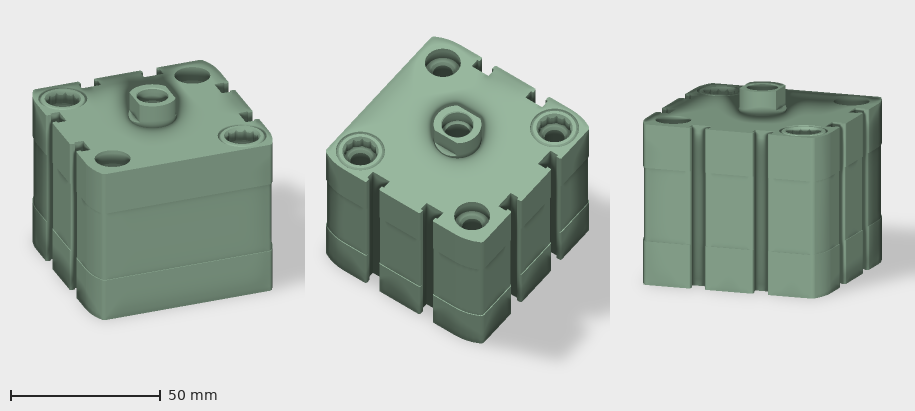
import cadquery as cq
import math

WIDTH = 65.5
BODY_HEIGHT = 55.0
ROD_PROJECTION = 8.2
CAP_HEIGHT = 14.95
BARREL_INSET = 0.295

BOLT_OFFSET = 23.2
CORNER_RADIUS = 18.35
CORNER_FILLET = 1.5

SLOT_OFFSET = 11.15
SLOT_MOUTH = 5.25
SLOT_WIDTH = 6.95
SLOT_DEPTH = 5.0
LIP_DEPTH = 1.8
LIP_ROUND = 0.6

BOLT_HOLE_DIA = 6.6
COUNTERSINK_DIA = 8.4
RECESS_DIA = 12.0
RECESS_DEPTH = 5.0
COUNTERSINK_SLOPE = math.radians(40)

HEAD_FACE_DIA = 14.4
HEAD_DIA = 15.5
HEAD_BORE_DIA = 16.0
HEAD_BORE_MOUTH_DIA = 16.4
SOCKET_RIM_DIA = 12.1
SOCKET_POINT_DIA = 11.5
SOCKET_TIP_DIA = 10.75
SOCKET_DEPTH = 4.6
SOCKET_LEAD_IN = math.radians(65)
SOCKET_HEXAGONS = 2
HEXAGON_SIDES = 6

ROD_DIA = 16.0
ROD_SEAT_DEPTH = CAP_HEIGHT
ROD_FLATS = 13.0
FLAT_LENGTH = 6.7
FLAT_RUN_OUT = math.radians(30)
ROD_MOUTH_DIA = 11.15
ROD_RECESS_DIA = 10.5
ROD_RECESS_DEPTH = 4.7
ROD_BORE_DIA = 8.6
ROD_STEP_SLOPE = math.radians(30)
ROD_BORE_DEPTH = 15.7
DRILL_SLOPE = math.radians(31)

CUTTER_MARGIN = 0.65
TOLERANCE = 0.005


def revolved(z, points):
    """Close a half-profile of (diameter, depth below z) pairs around the Z axis and revolve it."""
    outline = [(diameter / 2, z - depth) for diameter, depth in points]
    return cq.Workplane("XZ").polyline(outline).close().revolve(360, (0, 0), (0, 1))


def cone_depth(large_dia, small_dia, slope):
    return (large_dia - small_dia) / 2 * math.tan(slope)


def plain_block(half, height):
    """Square block whose four corners are arched from the Y faces down to the X faces."""
    radius = CORNER_RADIUS - (WIDTH / 2 - half)
    arch_centre = half - radius

    def on_arch(x):
        return arch_centre + math.sqrt(radius**2 - (x - BOLT_OFFSET) ** 2)

    arch_middle = (BOLT_OFFSET + half) / 2
    block = (
        cq.Workplane("XY")
        .moveTo(-BOLT_OFFSET, half)
        .lineTo(BOLT_OFFSET, half)
        .threePointArc((arch_middle, on_arch(arch_middle)), (half, on_arch(half)))
        .lineTo(half, -on_arch(half))
        .threePointArc((arch_middle, -on_arch(arch_middle)), (BOLT_OFFSET, -half))
        .lineTo(-BOLT_OFFSET, -half)
        .threePointArc((-arch_middle, -on_arch(arch_middle)), (-half, -on_arch(half)))
        .lineTo(-half, on_arch(half))
        .threePointArc((-arch_middle, on_arch(arch_middle)), (-BOLT_OFFSET, half))
        .close()
        .extrude(height)
    )
    return block.edges("|Z and (<X or >X)").fillet(CORNER_FILLET)


def slot_pair(height):
    """Two T-slots let into the +Y face."""
    slots = cq.Workplane("XY")
    for x in (-SLOT_OFFSET, SLOT_OFFSET):
        for width, near, far in (
            (SLOT_MOUTH, 0, SLOT_DEPTH),
            (SLOT_WIDTH, LIP_DEPTH, SLOT_DEPTH),
        ):
            y = WIDTH / 2 - (near + far) / 2
            slots = slots.union(cq.Workplane("XY").center(x, y).rect(width, far - near).extrude(height))
    return slots


def housing_band(half, bottom, height):
    """One length of the housing, with slots on the +Y, -Y and -X faces and rounded slot lips."""
    def is_lip(edge):
        along, outward = sorted((abs(edge.Center().x), abs(edge.Center().y)))
        return abs(outward - half) < TOLERANCE and along < SLOT_OFFSET + SLOT_WIDTH

    band = plain_block(half, height)
    for turn in (0, 90, 180):
        band = band.cut(slot_pair(height).rotate((0, 0, 0), (0, 0, 1), turn))
    lips = band.edges("|Z").filter(is_lip)
    return lips.fillet(LIP_ROUND).translate((0, 0, bottom))


def bolt_hole(mouth_depth):
    """Through hole whose countersunk mouth lies the given depth below the top face."""
    sink_end = mouth_depth + cone_depth(COUNTERSINK_DIA, BOLT_HOLE_DIA, COUNTERSINK_SLOPE)
    return revolved(BODY_HEIGHT, [
        (0, mouth_depth),
        (COUNTERSINK_DIA, mouth_depth),
        (BOLT_HOLE_DIA, sink_end),
        (BOLT_HOLE_DIA, BODY_HEIGHT),
        (0, BODY_HEIGHT),
    ])


def round_recess():
    return revolved(BODY_HEIGHT, [
        (0, 0), (RECESS_DIA, 0), (RECESS_DIA, RECESS_DEPTH), (0, RECESS_DEPTH),
    ])


def head_groove():
    """Narrow groove between the chamfer of a bolt head and the chamfer of its bore."""
    depth = (HEAD_DIA - HEAD_FACE_DIA) / 2
    return revolved(BODY_HEIGHT, [
        (HEAD_FACE_DIA, 0), (HEAD_DIA, depth), (HEAD_BORE_DIA, depth), (HEAD_BORE_MOUTH_DIA, 0),
    ])


def star_socket():
    """Twelve-point socket with blunt teeth and a conical lead-in."""
    lead_end = cone_depth(SOCKET_RIM_DIA, SOCKET_TIP_DIA, SOCKET_LEAD_IN)
    socket = revolved(BODY_HEIGHT, [
        (0, 0),
        (SOCKET_RIM_DIA, 0),
        (SOCKET_TIP_DIA, lead_end),
        (SOCKET_TIP_DIA, SOCKET_DEPTH),
        (0, SOCKET_DEPTH),
    ])
    floor = cq.Workplane("XY", origin=(0, 0, BODY_HEIGHT - SOCKET_DEPTH))
    for step in range(SOCKET_HEXAGONS):
        turn = step * 360 / HEXAGON_SIDES / SOCKET_HEXAGONS
        hexagon = floor.polygon(HEXAGON_SIDES, SOCKET_POINT_DIA).extrude(SOCKET_DEPTH)
        socket = socket.union(hexagon.rotate((0, 0, 0), (0, 0, 1), turn))
    return socket


def make_housing():
    half = WIDTH / 2
    top_cap_bottom = BODY_HEIGHT - CAP_HEIGHT
    housing = housing_band(half, 0, CAP_HEIGHT)
    housing = housing.union(housing_band(half - BARREL_INSET, CAP_HEIGHT, top_cap_bottom - CAP_HEIGHT))
    housing = housing.union(housing_band(half, top_cap_bottom, CAP_HEIGHT))

    for x_side in (-1, 1):
        for y_side in (-1, 1):
            corner = (x_side * BOLT_OFFSET, y_side * BOLT_OFFSET, 0)
            has_bolt_head = x_side == y_side
            if has_bolt_head:
                cutters = (head_groove(), star_socket(), bolt_hole(SOCKET_DEPTH))
            else:
                cutters = (round_recess(), bolt_hole(RECESS_DEPTH))
            for cutter in cutters:
                housing = housing.cut(cutter.translate(corner))

    rod_seat = cq.Workplane("XY", origin=(0, 0, BODY_HEIGHT - ROD_SEAT_DEPTH))
    return housing.cut(rod_seat.circle(ROD_DIA / 2).extrude(ROD_SEAT_DEPTH))


def flat_cutter():
    """Material removed for the spanner flat on the +Y side, running out along a slope."""
    top = BODY_HEIGHT + ROD_PROJECTION
    inner = ROD_FLATS / 2
    outer = ROD_DIA / 2 + CUTTER_MARGIN
    foot = top - FLAT_LENGTH
    run_out = (outer - inner) * math.tan(FLAT_RUN_OUT)
    profile = [(inner, top), (outer, top), (outer, foot - run_out), (inner, foot)]
    return cq.Workplane("YZ").polyline(profile).close().extrude(ROD_DIA / 2, both=True)


def rod_bore():
    """Stepped blind bore with a chamfered mouth and a drill-point bottom."""
    step_end = ROD_RECESS_DEPTH + cone_depth(ROD_RECESS_DIA, ROD_BORE_DIA, ROD_STEP_SLOPE)
    return revolved(BODY_HEIGHT + ROD_PROJECTION, [
        (0, 0),
        (ROD_MOUTH_DIA, 0),
        (ROD_RECESS_DIA, (ROD_MOUTH_DIA - ROD_RECESS_DIA) / 2),
        (ROD_RECESS_DIA, ROD_RECESS_DEPTH),
        (ROD_BORE_DIA, step_end),
        (ROD_BORE_DIA, ROD_BORE_DEPTH),
        (0, ROD_BORE_DEPTH + cone_depth(ROD_BORE_DIA, 0, DRILL_SLOPE)),
    ])


def make_piston_rod():
    rod = (
        cq.Workplane("XY", origin=(0, 0, BODY_HEIGHT - ROD_SEAT_DEPTH))
        .circle(ROD_DIA / 2)
        .extrude(ROD_SEAT_DEPTH + ROD_PROJECTION)
    )
    for turn in (0, 180):
        rod = rod.cut(flat_cutter().rotate((0, 0, 0), (0, 0, 1), turn))
    return rod.cut(rod_bore())


housing = make_housing()
piston_rod = make_piston_rod()
result = cq.Compound.makeCompound([housing.val(), piston_rod.val()])